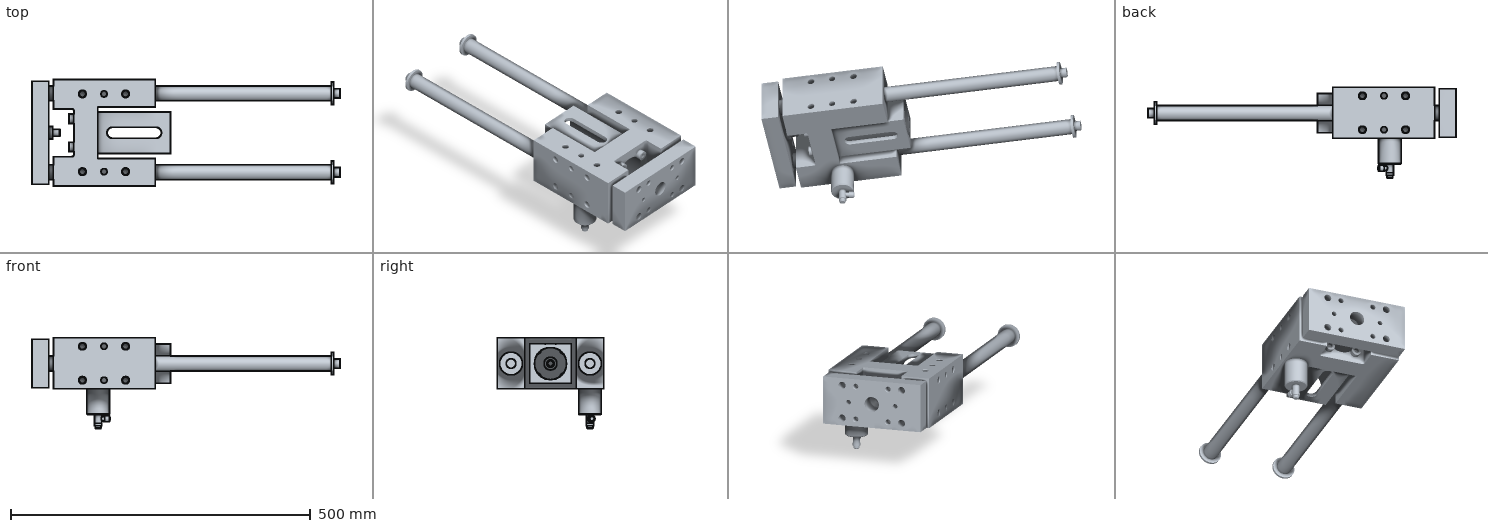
import cadquery as cq
import math

TOTAL_LENGTH = 514.0

HOUSING_FRONT = 36.0
HOUSING_LENGTH = 170.0
HOUSING_WIDTH = 178.0
HOUSING_HEIGHT = 85.5
WEB_FRONT = 70.0
WEB_THICKNESS = 40.0
FRONT_NOTCH_WIDTH = 79.0
REAR_NOTCH_WIDTH = 85.5
NOTCH_FILLET = 3.0
CYLINDER_BORE_DIAMETER = 53.5
HOUSING_REAR = HOUSING_FRONT + HOUSING_LENGTH
WEB_REAR = WEB_FRONT + WEB_THICKNESS

SLIDE_Z = -0.5
ROD_SPACING = 131.5
ROD_DIAMETER = 25.0

TONGUE_LENGTH = 121.5
TONGUE_WIDTH = 70.0
TONGUE_HEIGHT = 66.0
SLOT_FRONT = 125.5
SLOT_LENGTH = 90.5
SLOT_WIDTH = 18.0

HOLE_PITCH_X = 36.0
HOLE_CENTRE_X = 120.5
TOP_HOLE_SPACING = 129.5
SIDE_HOLE_SPACING = 56.5
TAPPED_DIAMETER = 11.0
TAPPED_MOUTH_DIAMETER = 12.5
TAPPED_DEPTH = 13.0
DOWEL_DIAMETER = 10.5
DOWEL_DEPTH = 10.5
DRILL_HALF_ANGLE = 59.0

SCREW_SPACING = 47.0
SCREW_DIAMETER = 16.0
SCREW_HEIGHT = 8.0
SOCKET_DIAMETER = 8.0
SOCKET_DEPTH = 5.0

LOCK_X = 110.5
LOCK_DIAMETER = 38.0
LOCK_LENGTH = 43.0
LOCK_CHAMFER = 1.5
STEM_DIAMETER = 12.5
STEM_LENGTH = 14.0
STEM_COLLAR_DIAMETER = 13.0
STEM_COLLAR_LENGTH = 4.5
TIP_DIAMETER = 10.5
TIP_LENGTH = 5.0
TIP_CHAMFER = 1.5
FITTING_DROP = 6.5
FITTING_NECK_DIAMETER = 8.0
FITTING_NECK_REACH = 10.5
FITTING_DIAMETER = 11.0
FITTING_LENGTH = 9.0
FITTING_CHAMFER = 1.5
FITTING_ANGLE = 10.0

PLATE_THICKNESS = 28.5
PLATE_WIDTH = 172.0
PLATE_HEIGHT = 81.0
CLEARANCE_SPACING_Y = 105.0
PLATE_TAPPED_SPACING_Y = 57.0
PLATE_ROW_SPACING = 56.5
CLEARANCE_DIAMETER = 12.5
PLATE_TAPPED_DIAMETER = 8.5
PLATE_TAPPED_MOUTH_DIAMETER = 10.0
PIN_HOLE_SPACING = 82.0
PIN_HOLE_DIAMETER = 8.0
PIN_HOLE_DEPTH = 10.5

COUPLING_HOLE_DIAMETER = 25.0
COUPLING_HOLE_DEPTH = 25.0
COUPLING_CONE_DIAMETER = 21.5
COUPLING_CONE_DEPTH = 4.5
COUPLING_CONE_END_DIAMETER = 6.0
COLLAR_DIAMETER = 21.5
COLLAR_LENGTH = 6.5
STUD_DIAMETER = 12.5
STUD_LENGTH = 12.5
STUD_CHAMFER = 1.5

WASHER_DIAMETER = 38.0
WASHER_THICKNESS = 4.0
END_STUB_DIAMETER = 16.0
END_STUB_LENGTH = 10.5


def block(x, z, length, width, height):
    """Box that starts at x, is centred on Y = 0 and has its mid-height at z."""
    return cq.Workplane("XY").box(length, width, height, centered=(False, True, True)).translate((x, 0, z))


def cylinder(start, direction, diameter, length):
    return cq.Workplane(obj=cq.Solid.makeCylinder(diameter / 2, length, cq.Vector(*start), cq.Vector(*direction)))


def cone(start, direction, diameter, end_diameter, length):
    return cq.Workplane(
        obj=cq.Solid.makeCone(diameter / 2, end_diameter / 2, length, cq.Vector(*start), cq.Vector(*direction))
    )


def tapped_hole(mouth, direction, diameter, mouth_diameter):
    """Blind drilled hole with a countersunk mouth and a conical drill point."""
    drill_point = diameter / 2 / math.tan(math.radians(DRILL_HALF_ANGLE))
    floor = cq.Vector(*mouth) + cq.Vector(*direction) * TAPPED_DEPTH
    countersink_depth = (mouth_diameter - diameter) / 2
    hole = cylinder(mouth, direction, diameter, TAPPED_DEPTH)
    hole = hole.union(cone(floor.toTuple(), direction, diameter, 0, drill_point))
    return hole.union(cone(mouth, direction, mouth_diameter, diameter, countersink_depth))


def hole_row(y, z, direction):
    """Two tapped holes with a dowel hole between them, along X."""
    row = cylinder((HOLE_CENTRE_X, y, z), direction, DOWEL_DIAMETER, DOWEL_DEPTH)
    for side in (-1, 1):
        mouth = (HOLE_CENTRE_X + side * HOLE_PITCH_X, y, z)
        row = row.union(tapped_hole(mouth, direction, TAPPED_DIAMETER, TAPPED_MOUTH_DIAMETER))
    return row


def make_lock():
    """Round locking unit with a stepped stem and a side fitting."""
    lock_y = ROD_SPACING / 2
    lock_top = -HOUSING_HEIGHT / 2
    lock_bottom = lock_top - LOCK_LENGTH
    stem_bottom = lock_bottom - STEM_LENGTH
    down = (0, 0, -1)
    lock = cylinder((LOCK_X, lock_y, lock_top), down, LOCK_DIAMETER, LOCK_LENGTH).faces("<Z").chamfer(LOCK_CHAMFER)
    stem = cylinder((LOCK_X, lock_y, lock_bottom), down, STEM_DIAMETER, STEM_LENGTH)
    collar = cylinder((LOCK_X, lock_y, stem_bottom), down, STEM_COLLAR_DIAMETER, STEM_COLLAR_LENGTH)
    collar_bottom = stem_bottom - STEM_COLLAR_LENGTH
    tip = cylinder((LOCK_X, lock_y, collar_bottom), down, TIP_DIAMETER, TIP_LENGTH).faces("<Z").chamfer(TIP_CHAMFER)

    angle = math.radians(FITTING_ANGLE)
    outward = (math.cos(angle), math.sin(angle), 0)
    neck_start = cq.Vector(LOCK_X, lock_y, lock_bottom - FITTING_DROP)
    neck_end = neck_start + cq.Vector(*outward) * FITTING_NECK_REACH
    neck = cylinder(neck_start.toTuple(), outward, FITTING_NECK_DIAMETER, FITTING_NECK_REACH)
    fitting = cylinder(neck_end.toTuple(), outward, FITTING_DIAMETER, FITTING_LENGTH)
    fitting = fitting.faces(">X").chamfer(FITTING_CHAMFER)
    return lock.union(stem).union(collar).union(tip).union(neck).union(fitting)


def screw_head(base):
    head = cylinder(base, (-1, 0, 0), SCREW_DIAMETER, SCREW_HEIGHT)
    socket_floor = (base[0] - SCREW_HEIGHT + SOCKET_DEPTH, base[1], base[2])
    return head.cut(cylinder(socket_floor, (-1, 0, 0), SOCKET_DIAMETER, SOCKET_DEPTH))


def make_housing():
    body = block(HOUSING_FRONT, 0, HOUSING_LENGTH, HOUSING_WIDTH, HOUSING_HEIGHT)
    front_notch = block(HOUSING_FRONT, 0, WEB_FRONT - HOUSING_FRONT, FRONT_NOTCH_WIDTH, HOUSING_HEIGHT)
    front_notch = front_notch.edges("|Z and >X").fillet(NOTCH_FILLET)
    rear_notch = block(WEB_REAR, 0, HOUSING_REAR - WEB_REAR, REAR_NOTCH_WIDTH, HOUSING_HEIGHT)
    body = body.cut(front_notch).cut(rear_notch)

    tongue = block(WEB_REAR, SLIDE_Z, TONGUE_LENGTH, TONGUE_WIDTH, TONGUE_HEIGHT)
    slot = block(SLOT_FRONT, SLIDE_Z, SLOT_LENGTH, SLOT_WIDTH, TONGUE_HEIGHT)
    slot = slot.edges("|Z").fillet(SLOT_WIDTH / 2 - 0.005)
    body = body.union(tongue.cut(slot))
    bore_length = WEB_THICKNESS + TONGUE_LENGTH
    body = body.cut(cylinder((WEB_FRONT, 0, SLIDE_Z), (1, 0, 0), CYLINDER_BORE_DIAMETER, bore_length))

    for side in (-1, 1):
        rod_start = (HOUSING_FRONT, side * ROD_SPACING / 2, SLIDE_Z)
        body = body.cut(cylinder(rod_start, (1, 0, 0), ROD_DIAMETER, HOUSING_LENGTH))
        body = body.cut(hole_row(side * TOP_HOLE_SPACING / 2, HOUSING_HEIGHT / 2, (0, 0, -1)))
        for level in (-1, 1):
            row_z = level * SIDE_HOLE_SPACING / 2
            body = body.cut(hole_row(side * HOUSING_WIDTH / 2, row_z, (0, -side, 0)))
            screw_base = (WEB_FRONT, side * SCREW_SPACING / 2, SLIDE_Z + level * SCREW_SPACING / 2)
            body = body.union(screw_head(screw_base))

    return body.union(make_lock())


def make_rod(y):
    """Guide rod with its end washer and stub, starting at the back of the plate."""
    stub_start = TOTAL_LENGTH - END_STUB_LENGTH
    washer_start = stub_start - WASHER_THICKNESS
    along = (1, 0, 0)
    rod = cylinder((PLATE_THICKNESS, y, SLIDE_Z), along, ROD_DIAMETER, washer_start - PLATE_THICKNESS)
    washer = cylinder((washer_start, y, SLIDE_Z), along, WASHER_DIAMETER, WASHER_THICKNESS)
    stub = cylinder((stub_start, y, SLIDE_Z), along, END_STUB_DIAMETER, END_STUB_LENGTH)
    return rod.union(washer).union(stub)


def make_slide():
    along = (1, 0, 0)
    slide = block(0, SLIDE_Z, PLATE_THICKNESS, PLATE_WIDTH, PLATE_HEIGHT)

    collar = cylinder((PLATE_THICKNESS, 0, SLIDE_Z), along, COLLAR_DIAMETER, COLLAR_LENGTH)
    stud = cylinder((PLATE_THICKNESS + COLLAR_LENGTH, 0, SLIDE_Z), along, STUD_DIAMETER, STUD_LENGTH)
    slide = slide.union(collar).union(stud.faces(">X").chamfer(STUD_CHAMFER))
    slide = slide.cut(cylinder((0, 0, SLIDE_Z), along, COUPLING_HOLE_DIAMETER, COUPLING_HOLE_DEPTH))
    slide = slide.cut(
        cone(
            (COUPLING_HOLE_DEPTH, 0, SLIDE_Z),
            along,
            COUPLING_CONE_DIAMETER,
            COUPLING_CONE_END_DIAMETER,
            COUPLING_CONE_DEPTH,
        )
    )

    for side in (-1, 1):
        slide = slide.union(make_rod(side * ROD_SPACING / 2))
        pin_mouth = (0, side * PIN_HOLE_SPACING / 2, SLIDE_Z)
        slide = slide.cut(cylinder(pin_mouth, along, PIN_HOLE_DIAMETER, PIN_HOLE_DEPTH))
        for level in (-1, 1):
            row_z = SLIDE_Z + level * PLATE_ROW_SPACING / 2
            clearance_mouth = (0, side * CLEARANCE_SPACING_Y / 2, row_z)
            slide = slide.cut(cylinder(clearance_mouth, along, CLEARANCE_DIAMETER, PLATE_THICKNESS))
            tapped_mouth = (0, side * PLATE_TAPPED_SPACING_Y / 2, row_z)
            slide = slide.cut(tapped_hole(tapped_mouth, along, PLATE_TAPPED_DIAMETER, PLATE_TAPPED_MOUTH_DIAMETER))
    return slide


housing = make_housing()
slide = make_slide()
result = cq.Compound.makeCompound([housing.val(), slide.val()])